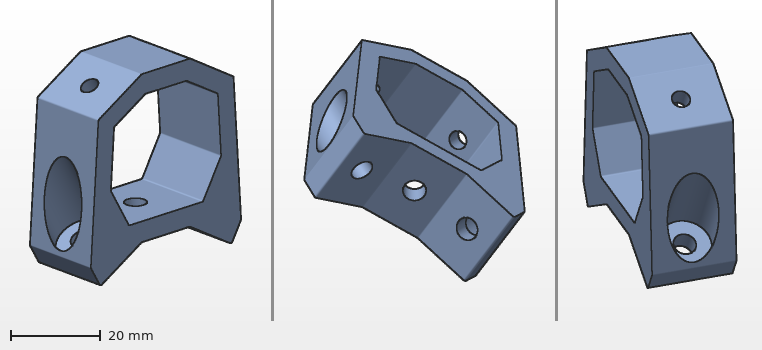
import cadquery as cq
import math

length = 20.0
half_width = 22.88
height = 47.05
wall = 5.0
edge_radius = 0.5

flat_half = 7.4
shoulder_half = 20.55
foot_tip_half = 19.95
slope = math.radians(30)
shoulder_z = height - (shoulder_half - flat_half) * math.tan(slope)
foot_tip_z = -edge_radius * (math.sin(slope) + math.cos(slope) - 1)
underside_z = foot_tip_z + (foot_tip_half - flat_half) * math.tan(slope)
foot_corner_z = foot_tip_z + (half_width - foot_tip_half) / math.tan(slope)

window_bottom_half = 11.25
window_wide_half = 16.75
window_shoulder_half = 15.75
window_top_half = 6.25
window_bottom_z = underside_z + wall
window_top_z = height - wall
window_wide_z = window_bottom_z + (window_wide_half - window_bottom_half) / math.tan(slope)
window_shoulder_z = window_top_z - (window_shoulder_half - window_top_half) * math.tan(slope)

set_screw_diameter = 4.2
bolt_diameter = 5.2
bolt_head_diameter = 12.2
bolt_offset = 0.4
cut_length = 37.65


def mirrored_prism(half_outline):
    """Extrude a right-half outline together with its mirror image, with rounded edges."""
    left_half = [(-y, z) for y, z in reversed(half_outline)]
    return (
        cq.Workplane("YZ")
        .polyline(half_outline + left_half)
        .close()
        .extrude(length / 2, both=True)
        .edges("|X")
        .fillet(edge_radius)
    )


def cylinder(diameter, depth, start, direction):
    """Cylinder in the X = 0 plane from a (Y, Z) start along a (Y, Z) direction."""
    solid = cq.Solid.makeCylinder(diameter / 2, depth, cq.Vector(0, *start), cq.Vector(0, *direction))
    return cq.Workplane(obj=solid)


outer = mirrored_prism([
    (flat_half, underside_z),
    (foot_tip_half, foot_tip_z),
    (half_width, foot_corner_z),
    (shoulder_half, shoulder_z),
    (flat_half, height),
])
window = mirrored_prism([
    (window_bottom_half, window_bottom_z),
    (window_wide_half, window_wide_z),
    (window_shoulder_half, window_shoulder_z),
    (window_top_half, window_top_z),
])
result = outer.cut(window)

result = result.cut(cylinder(bolt_diameter, wall, (0, underside_z), (0, 1)))

for side in (-1, 1):
    normal = (side * math.sin(slope), math.cos(slope))

    roof_middle = (side * (flat_half + shoulder_half) / 2, (height + shoulder_z) / 2)
    inward = (-normal[0], -normal[1])
    result = result.cut(cylinder(set_screw_diameter, 2 * wall, roof_middle, inward))

    bolt_y = (flat_half + foot_tip_half) / 2 + bolt_offset * math.cos(slope)
    bolt_z = (underside_z + foot_tip_z) / 2 - bolt_offset * math.sin(slope)
    foot_point = (side * bolt_y, bolt_z)
    seat_point = (foot_point[0] + wall * normal[0], foot_point[1] + wall * normal[1])
    result = result.cut(cylinder(bolt_diameter, wall, foot_point, normal))
    result = result.cut(cylinder(bolt_head_diameter, cut_length, seat_point, normal))